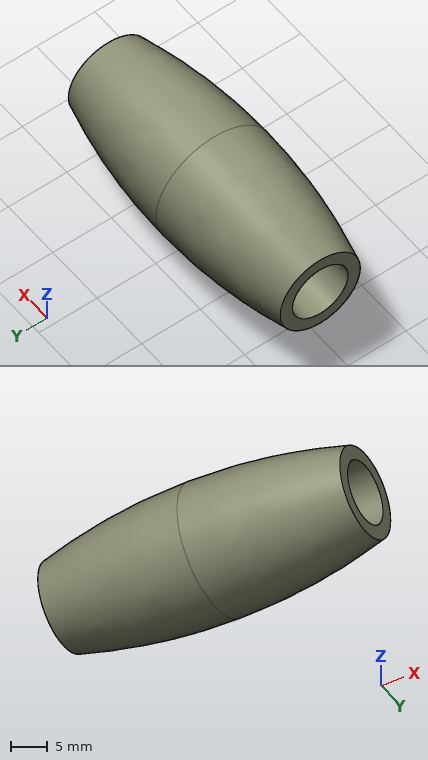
import cadquery as cq

length = 47.7
middle_diameter = 20.0
end_diameter = 13.7
bore_diameter = 9.5

half_length = length / 2
middle_radius = middle_diameter / 2
end_radius = end_diameter / 2
bore_radius = bore_diameter / 2

bulge = middle_radius - end_radius
arc_radius = (half_length**2 + bulge**2) / (2 * bulge)

half_section = (
    cq.Workplane("XY")
    .moveTo(-half_length, bore_radius)
    .lineTo(-half_length, end_radius)
    .radiusArc((0, middle_radius), arc_radius)
    .radiusArc((half_length, end_radius), arc_radius)
    .lineTo(half_length, bore_radius)
    .close()
)

result = half_section.revolve(360, (0, 0, 0), (1, 0, 0))